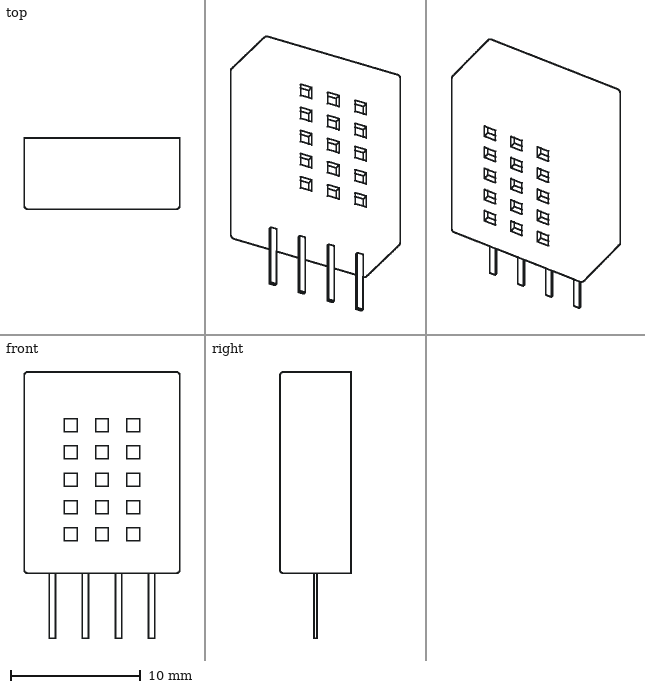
import cadquery as cq

body_width = 12.0
body_depth = 5.5
overall_height = 20.51
pin_length = 5.0
body_height = overall_height - pin_length
edge_radius = 0.3

vent_size = 1.0
vent_depth = 0.5
vent_columns = 3
vent_rows = 5
vent_column_pitch = 2.4
vent_row_pitch = 2.1
vent_center_below_top = 8.305

pin_count = 4
pin_pitch = 2.54
pin_width = 0.5
pin_thickness = 0.25
pin_embed = 0.5


def make_body():
    """Sensor housing standing on Z = 0, rounded everywhere except around its flat back."""
    body = cq.Workplane("XY").box(
        body_width, body_depth, body_height, centered=(True, True, False)
    )
    return body.edges("not >Y").fillet(edge_radius)


def make_vents():
    """Grid of square blind pockets opening on the front face."""
    vent_center_z = body_height - vent_center_below_top
    return (
        cq.Workplane("XZ", origin=(0, -body_depth / 2, vent_center_z))
        .rarray(vent_column_pitch, vent_row_pitch, vent_columns, vent_rows)
        .rect(vent_size, vent_size)
        .extrude(-vent_depth)
    )


def make_pins():
    """Flat pins hanging from the underside, centred on the body."""
    return (
        cq.Workplane("XY", origin=(0, 0, -pin_length))
        .rarray(pin_pitch, 1, pin_count, 1)
        .rect(pin_width, pin_thickness)
        .extrude(pin_length + pin_embed)
    )


result = make_body().cut(make_vents()).union(make_pins())